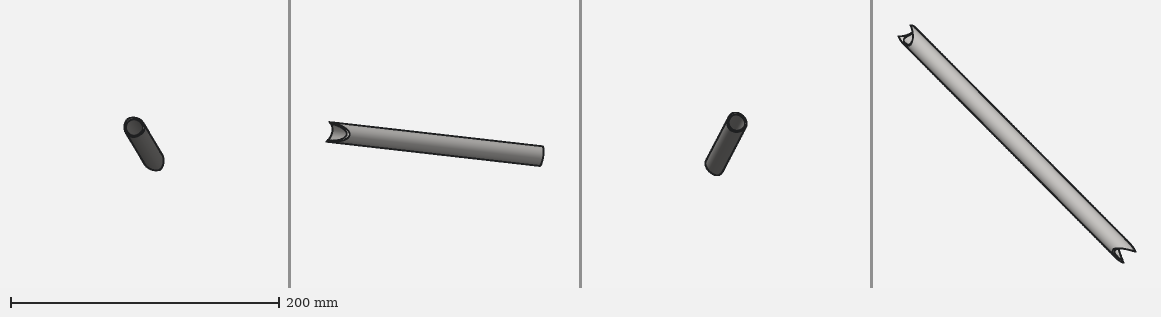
import cadquery as cq
import math

run_x = 108.7
run_y = -192.1
run_z = 90.5

tube_radius = 7.5
wall = 1.3
cope_radius = 9.6
branch_drop = 10.0
overrun = 38.5
block = 115.3

lower_node = cq.Vector(0, 0, 0)
upper_node = cq.Vector(run_x, run_y, run_z)
axis = upper_node.normalized()
y_dir = cq.Vector(0, 1, 0)
level = cq.Vector(run_x, 0, run_z).normalized()
across = y_dir.cross(level)


def axial_cylinder(radius):
    """Overlong cylinder about the tube axis."""
    length = upper_node.Length + 2 * overrun
    return cq.Workplane(cq.Solid.makeCylinder(radius, length, axis * -overrun, axis))


def member(center, radius, direction):
    """Solid round member centered on a point, used to cope the tube."""
    start = center - direction * (block / 2)
    return cq.Workplane(cq.Solid.makeCylinder(radius, block, start, direction))


def half_space(node, normal):
    """Block filling the space beyond a plane through a node."""
    plane = cq.Plane(origin=node, xDir=across, normal=normal)
    return cq.Workplane(plane).rect(block, block).extrude(block)


def trim_lower_end(tube):
    """Cope against a member along Y and a branch, both passing through the tube's side tips."""
    setback = math.sqrt(cope_radius**2 - tube_radius**2)
    drop = math.radians(branch_drop)
    branch_dir = level * math.cos(drop) - y_dir * math.sin(drop)
    branch_normal = level * math.sin(drop) + y_dir * math.cos(drop)
    tube = tube.cut(half_space(lower_node, level * -1))
    tube = tube.cut(half_space(lower_node, branch_normal))
    tube = tube.cut(member(level * -setback, cope_radius, y_dir))
    return tube.cut(member(branch_normal * setback, cope_radius, branch_dir))


def trim_upper_end(tube):
    """Cope against the tube's mirror image across the XZ plane through the node."""
    mirrored_axis = cq.Vector(axis.x, -axis.y, axis.z)
    tube = tube.cut(half_space(upper_node, level))
    tube = tube.cut(half_space(upper_node, y_dir * -1))
    return tube.cut(member(upper_node, tube_radius, mirrored_axis))


tube = axial_cylinder(tube_radius).cut(axial_cylinder(tube_radius - wall))
tube = trim_lower_end(tube)
result = trim_upper_end(tube)